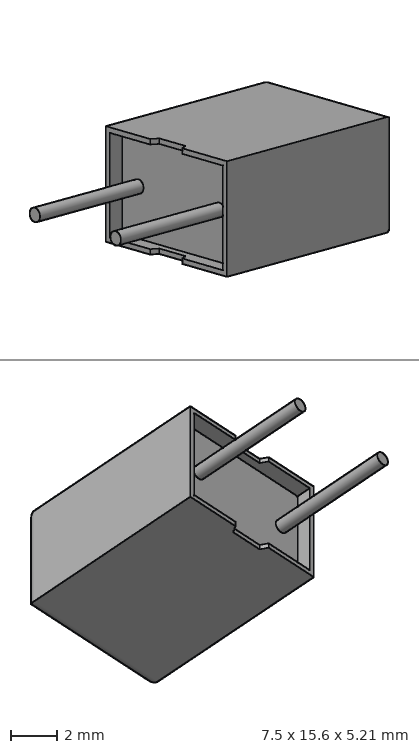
import cadquery as cq

case_width = 7.5
case_length = 10.1
case_height = 5.21
wall = 0.25
back_edge_radius = 0.5

notch_mouth_width = 2.0
notch_floor_width = 1.6
notch_depth = 0.35

fill_recess = 0.75

lead_diameter = 0.65
lead_pitch = 5.0
lead_reach = 5.5

cavity_width = case_width - 2 * wall
cavity_height = case_height - 2 * wall
cavity_length = case_length - wall


def block_from(front_y, width, length, height):
    """Block centred on X and Z that runs from front_y toward +Y."""
    block = cq.Workplane("XY").box(width, length, height, centered=(True, False, True))
    return block.translate((0, front_y, 0))


def make_notch_cutter():
    """Trapezoidal prism that crosses the top and bottom walls."""
    outline = [
        (-notch_mouth_width / 2, 0),
        (notch_mouth_width / 2, 0),
        (notch_floor_width / 2, notch_depth),
        (-notch_floor_width / 2, notch_depth),
    ]
    return cq.Workplane("XY").polyline(outline).close().extrude(case_height, both=True)


def make_case():
    shell = block_from(0, case_width, case_length, case_height)
    shell = shell.faces(">Y").edges().fillet(back_edge_radius)
    cavity = block_from(0, cavity_width, cavity_length, cavity_height)
    return shell.cut(cavity).cut(make_notch_cutter())


def make_fill():
    return block_from(fill_recess, cavity_width, cavity_length - fill_recess, cavity_height)


def make_lead(x):
    """Round wire from the fill face forward to its free end."""
    fill_face = cq.Workplane("XZ", origin=(x, fill_recess, 0))
    return fill_face.circle(lead_diameter / 2).extrude(fill_recess + lead_reach)


case = make_case()
fill = make_fill()
leads = [make_lead(side * lead_pitch / 2) for side in (-1, 1)]

result = cq.Compound.makeCompound([case.val(), fill.val(), *[lead.val() for lead in leads]])